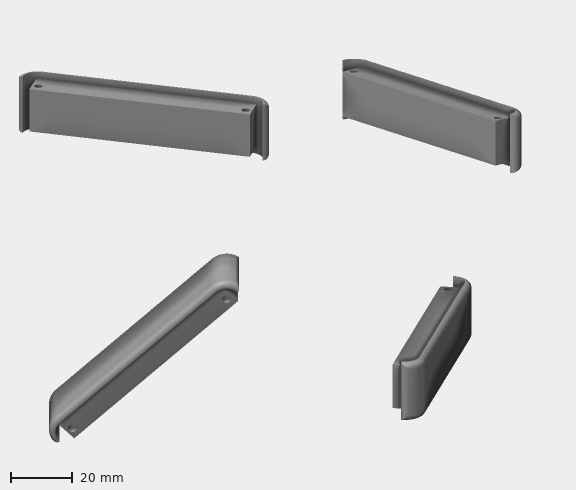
import cadquery as cq
import math

length = 83.7
depth = 10.5
height = 20.0

wall = 2.0
inner_radius = 5.0
edge_radius = 1.9
outer_radius = inner_radius + wall

block_length = 73.9
block_height = 15.1

hole_diameter = 2.8
hole_end_margin = 2.2
hole_front_margin = 3.1

rounding_center_distance = outer_radius - edge_radius
curl_reach = math.sqrt(rounding_center_distance**2 - edge_radius**2) + edge_radius
curl_center_x = length / 2 - curl_reach

back_y = depth
plate_front_y = back_y - wall
curl_center_y = back_y - outer_radius


def arc_point(side, radius):
    """Midpoint of a quarter arc of the curl on the given side (-1 or 1)."""
    offset = radius * math.sqrt(0.5)
    return (side * (curl_center_x + offset), curl_center_y + offset)


def make_cover():
    outer_tip_x = curl_center_x + outer_radius
    inner_tip_x = curl_center_x + inner_radius
    cover = (
        cq.Workplane("XY")
        .workplane(offset=-height / 2)
        .moveTo(-outer_tip_x, curl_center_y)
        .threePointArc(arc_point(-1, outer_radius), (-curl_center_x, back_y))
        .lineTo(curl_center_x, back_y)
        .threePointArc(arc_point(1, outer_radius), (outer_tip_x, curl_center_y))
        .lineTo(inner_tip_x, curl_center_y)
        .threePointArc(arc_point(1, inner_radius), (curl_center_x, plate_front_y))
        .lineTo(-curl_center_x, plate_front_y)
        .threePointArc(arc_point(-1, inner_radius), (-inner_tip_x, curl_center_y))
        .close()
        .extrude(height)
    )
    return cover.faces(">Y").edges("|X").fillet(edge_radius)


def make_tip_envelope():
    """Solid bounded by the outer skin with rounded tips; it trims the cover tips."""
    rounding_center_x = length / 2 - edge_radius
    rounding_center_y = curl_center_y + edge_radius
    contact_angle = math.asin(edge_radius / rounding_center_distance)
    contact_x = curl_center_x + outer_radius * math.cos(contact_angle)
    contact_y = curl_center_y + outer_radius * math.sin(contact_angle)
    middle_angle = (contact_angle - math.pi / 2) / 2
    middle_x = rounding_center_x + edge_radius * math.cos(middle_angle)
    middle_y = rounding_center_y + edge_radius * math.sin(middle_angle)
    crest_angle = (contact_angle + math.pi / 2) / 2
    crest_x = curl_center_x + outer_radius * math.cos(crest_angle)
    crest_y = curl_center_y + outer_radius * math.sin(crest_angle)
    return (
        cq.Workplane("XY")
        .workplane(offset=-height / 2)
        .moveTo(rounding_center_x, curl_center_y)
        .threePointArc((middle_x, middle_y), (contact_x, contact_y))
        .threePointArc((crest_x, crest_y), (curl_center_x, back_y))
        .lineTo(-curl_center_x, back_y)
        .threePointArc((-crest_x, crest_y), (-contact_x, contact_y))
        .threePointArc((-middle_x, middle_y), (-rounding_center_x, curl_center_y))
        .close()
        .extrude(height)
    )


def make_block():
    block_depth = plate_front_y + wall / 2
    hole_x = block_length / 2 - hole_end_margin
    return (
        cq.Workplane("XY")
        .box(block_length, block_depth, block_height, centered=(True, False, True))
        .faces(">Z")
        .workplane(origin=(0, 0, 0))
        .pushPoints([(-hole_x, hole_front_margin), (hole_x, hole_front_margin)])
        .hole(hole_diameter)
    )


cover = make_cover().intersect(make_tip_envelope())
result = cover.union(make_block())